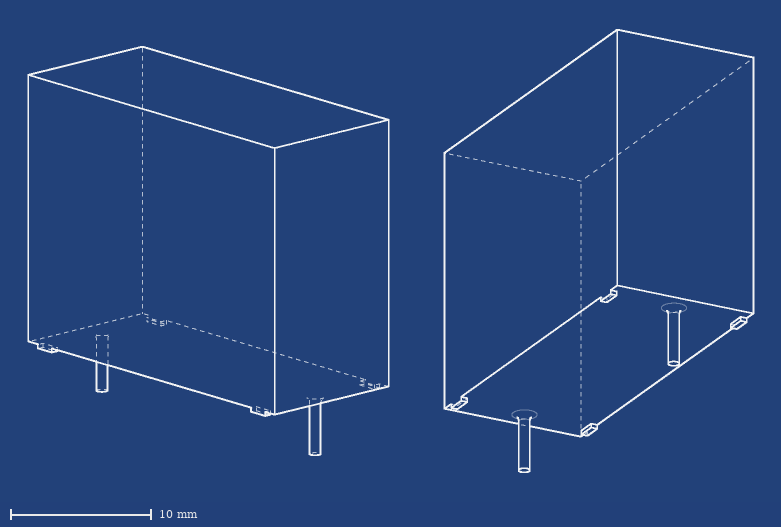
import cadquery as cq

case_length = 26.0
case_width = 11.0
case_top = 20.0
standoff = 0.3

lead_pitch = 22.5
lead_diameter = 0.8
lead_length = 4.0
collar_radius = 0.5

foot_length = 1.5
foot_width = 0.5

lead_radius = lead_diameter / 2
end_signs = (-1, 1)


def make_case():
    """Plain rectangular case whose underside sits one standoff above the seating plane."""
    return (
        cq.Workplane("XY")
        .workplane(offset=standoff)
        .rect(case_length, case_width)
        .extrude(case_top - standoff)
    )


def make_lead(x):
    """Round lead with a concave collar flaring out into the underside of the case."""
    return (
        cq.Workplane("XZ")
        .moveTo(0, standoff)
        .lineTo(lead_radius + collar_radius, standoff)
        .radiusArc((lead_radius, standoff - collar_radius), -collar_radius)
        .lineTo(lead_radius, -lead_length)
        .lineTo(0, -lead_length)
        .close()
        .revolve(360, (0, 0), (0, 1))
        .translate((x, 0, 0))
    )


def make_foot(x, side):
    """Rectangular standoff foot, flush with one long side of the case."""
    return (
        cq.Workplane("XY")
        .center(x, side * (case_width - foot_width) / 2)
        .rect(foot_length, foot_width)
        .extrude(standoff)
    )


result = make_case()
for end in end_signs:
    end_x = end * lead_pitch / 2
    result = result.union(make_lead(end_x))
    for side in end_signs:
        result = result.union(make_foot(end_x, side))